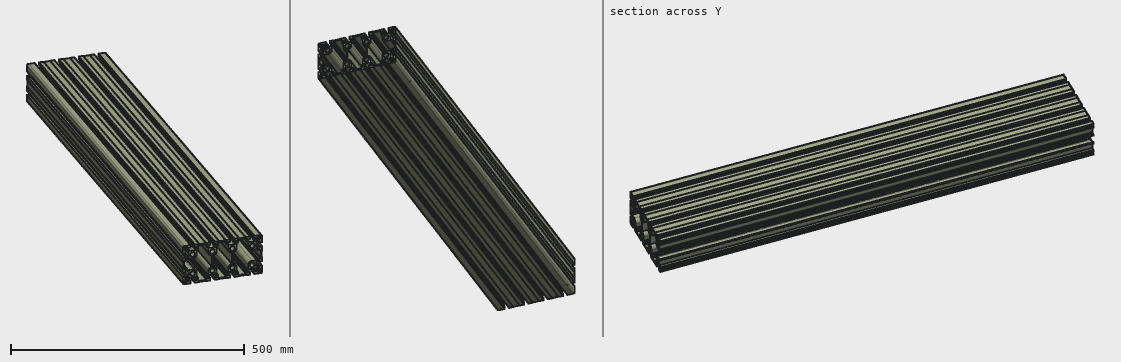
import cadquery as cq

length = 1000.0
pitch = 45.0
columns = 4
rows = 2
width = columns * pitch
height = rows * pitch
corner_radius = 4.0

slot_opening = 10.0
lip_thickness = 6.0
cavity_width = 20.0
cavity_floor_width = 13.0
cavity_straight_depth = 10.0
slot_depth = 13.0

boss_radius = 9.5
bore_diameter = 11.0
plate_thickness = 3.5
web_thickness = 3.0
slot_wall_thickness = 3.0
slot_wall_slant = 2.0
chamber_chamfer = 1.0
slot_wall_half_width = cavity_width / 2 + slot_wall_thickness

recess_width = 15.0
recess_depth = 0.5

hollow_start = 3.5
hollow_end = 9.0
hollow_chamfer = 1.0

half_width = width / 2
half_height = height / 2
half_pitch = pitch / 2


def centred_steps(count):
    """Positions of `count` items one pitch apart, centred on zero."""
    return [(i - (count - 1) / 2) * pitch for i in range(count)]


cell_ys = centred_steps(columns)
cell_zs = centred_steps(rows)
strip_ys = centred_steps(columns - 1)
strip_zs = centred_steps(rows - 1)
cell_centres = [(y, z) for y in cell_ys for z in cell_zs]
corner_signs = [(sy, sz) for sy in (-1, 1) for sz in (-1, 1)]


def section():
    """Cross-section plane at the -X end: local x is Y, local y is Z, normal is +X."""
    return cq.Workplane("YZ", origin=(-length / 2, 0, 0))


def prism(points):
    return section().polyline(points).close().extrude(length)


def mirrored(half_outline):
    """Complete a symmetric outline from its half with positive across values."""
    return half_outline + [(-across, depth) for across, depth in reversed(half_outline)]


def on_each_face(outline, ys, zs):
    """Prisms of an (across, depth) outline at ys on the Z faces and zs on the Y faces."""
    prisms = []
    for side in (-1, 1):
        for y in ys:
            prisms.append(prism([(y + a, side * (half_height - d)) for a, d in outline]))
        for z in zs:
            prisms.append(prism([(side * (half_width - d), z + a) for a, d in outline]))
    return prisms


def at_each_corner(outline):
    """Prisms of an outline given as distances inward from the two faces of a corner."""
    return [
        prism([(sy * (half_width - a), sz * (half_height - b)) for a, b in outline])
        for sy, sz in corner_signs
    ]


slot_outline = mirrored([
    (slot_opening / 2, 0),
    (slot_opening / 2, lip_thickness),
    (cavity_width / 2, lip_thickness),
    (cavity_width / 2, cavity_straight_depth),
    (cavity_floor_width / 2, slot_depth),
])

housing_outline = mirrored([
    (slot_wall_half_width + chamber_chamfer, recess_depth),
    (slot_wall_half_width + chamber_chamfer, plate_thickness),
    (slot_wall_half_width, plate_thickness + chamber_chamfer),
    (slot_wall_half_width, cavity_straight_depth),
    (boss_radius, cavity_straight_depth + slot_wall_slant),
    (boss_radius, half_pitch),
])

recess_outline = mirrored([(recess_width / 2, 0), (recess_width / 2, recess_depth)])

corner_block_outline = [(0, 0), (half_pitch, 0), (half_pitch, half_pitch), (0, half_pitch)]

hollow_outline = [
    (hollow_start, hollow_start),
    (hollow_end, hollow_start),
    (hollow_end, hollow_end - hollow_chamfer),
    (hollow_end - hollow_chamfer, hollow_end),
    (hollow_start, hollow_end),
]

inner_width = width - 2 * plate_thickness
inner_height = height - 2 * plate_thickness
envelope = section().rect(width, height).extrude(length).edges("|X").fillet(corner_radius)
profile = envelope.cut(section().rect(inner_width, inner_height).extrude(length))

bosses = section().pushPoints(cell_centres).circle(boss_radius).extrude(length)
web_points = [(y, 0) for y in cell_ys[1:-1]]
webs = section().pushPoints(web_points).rect(web_thickness, pitch).extrude(length)
profile = profile.union(bosses).union(webs)
for solid in on_each_face(housing_outline, cell_ys, cell_zs) + at_each_corner(corner_block_outline):
    profile = profile.union(solid)
profile = profile.intersect(envelope)

cutters = on_each_face(slot_outline, cell_ys, cell_zs)
cutters += on_each_face(recess_outline, strip_ys, strip_zs)
cutters += at_each_corner(hollow_outline)
for cutter in cutters:
    profile = profile.cut(cutter)
bores = section().pushPoints(cell_centres).circle(bore_diameter / 2).extrude(length)

result = profile.cut(bores)